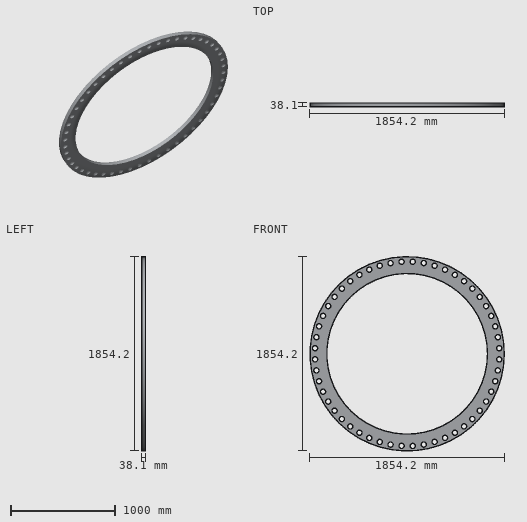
import cadquery as cq

OUTER_DIAMETER = 1854.2
BORE_DIAMETER = 1528.83
THICKNESS = 38.1
BOLT_CIRCLE_DIAMETER = 1758.95
BOLT_HOLE_DIAMETER = 47.62
BOLT_HOLE_COUNT = 52

HOLE_PITCH_ANGLE = 360 / BOLT_HOLE_COUNT
FIRST_HOLE_ANGLE = HOLE_PITCH_ANGLE / 2


def make_ring():
    """Flat ring around the Y axis, centred on the origin."""
    return (
        cq.Workplane("XZ", origin=(0, THICKNESS / 2, 0))
        .circle(OUTER_DIAMETER / 2)
        .circle(BORE_DIAMETER / 2)
        .extrude(THICKNESS)
    )


def make_bolt_holes():
    """Cylinders for the evenly spaced through holes on the bolt circle."""
    return (
        cq.Workplane("XZ", origin=(0, THICKNESS / 2, 0))
        .polarArray(BOLT_CIRCLE_DIAMETER / 2, FIRST_HOLE_ANGLE, 360, BOLT_HOLE_COUNT)
        .circle(BOLT_HOLE_DIAMETER / 2)
        .extrude(THICKNESS)
    )


result = make_ring().cut(make_bolt_holes())